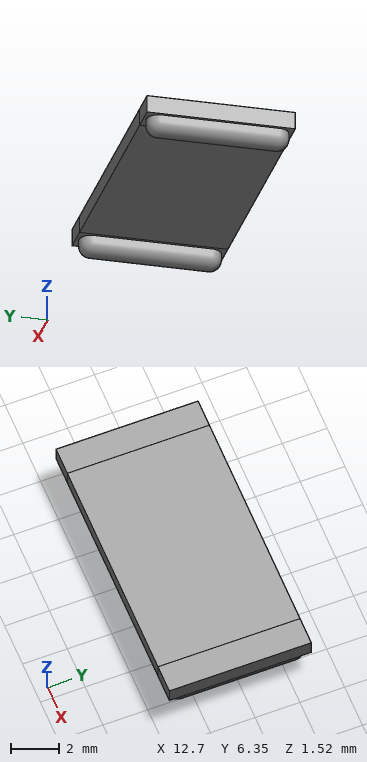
import cadquery as cq

length = 12.7
width = 6.35
plate_thickness = 0.76
end_length = 1.27
foot_margin = 0.13
foot_height = 0.76

center_length = length - 2 * end_length
foot_width = end_length - 2 * foot_margin
foot_length = width - 2 * foot_margin
foot_radius = foot_width / 2
foot_wall_height = foot_height - foot_radius
foot_straight_length = foot_length - foot_width
end_offset = (length - end_length) / 2


def make_plate(plate_length, x_center):
    """Flat block with its underside on Z = 0."""
    return (
        cq.Workplane("XY")
        .box(plate_length, width, plate_thickness, centered=(True, True, False))
        .translate((x_center, 0, 0))
    )


def make_foot(x_center):
    """Bar with round ends along Y: upright walls on top, a ball-ended half cylinder below."""
    wall = (
        cq.Workplane("XY")
        .slot2D(foot_length, foot_width, angle=90)
        .extrude(-foot_wall_height)
    )
    capsule = (
        cq.Workplane("XZ")
        .circle(foot_radius)
        .extrude(foot_straight_length / 2, both=True)
    )
    for side in (-1, 1):
        ball = cq.Workplane("XY").sphere(foot_radius)
        capsule = capsule.union(ball.translate((0, side * foot_straight_length / 2, 0)))
    lower_half = cq.Workplane("XY").box(
        foot_width, foot_length, foot_radius, centered=(True, True, False)
    )
    lower_half = lower_half.translate((0, 0, -foot_radius))
    rounded_bottom = capsule.intersect(lower_half).translate((0, 0, -foot_wall_height))
    return wall.union(rounded_bottom).translate((x_center, 0, 0))


center_plate = make_plate(center_length, 0)

end_blocks = []
feet = []
for direction in (-1, 1):
    end_blocks.append(make_plate(end_length, direction * end_offset).val())
    feet.append(make_foot(direction * end_offset).val())

result = cq.Compound.makeCompound([center_plate.val(), *end_blocks, *feet])